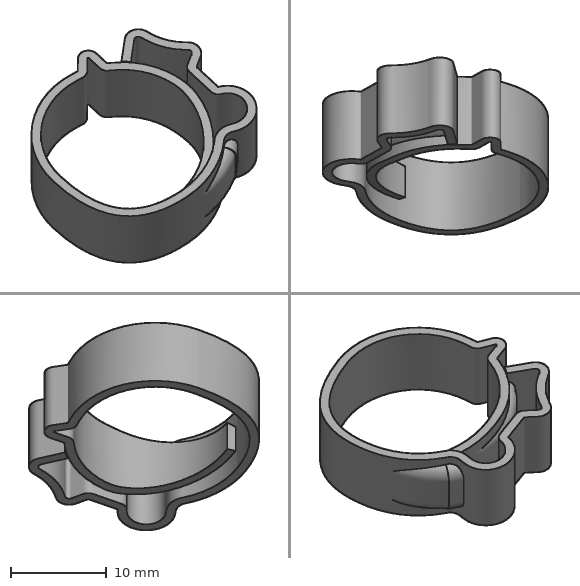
import cadquery as cq
import math


ORIGIN = (0, 0)
WIDTH = 8.0
THICKNESS = 1.0
TIGHT_BEND = 0.53

INNER_RADIUS = 9.0
OUTER_RADIUS = 10.144
TONGUE_END_ANGLE = 146.5
BAND_START_ANGLE = 173.3
BAND_END_ANGLE = 44.0
BELLY_REACH_X = 6.79
BELLY_REACH_Y = 6.15

HOOK_TOP_Y = 4.36
HOOK_TIP_X = -11.47
HOOK_FOOT_Y = 2.05
HOOK_TIP_BEND = 0.6

EAR_NECK_BEND = 1.85
LOOP_CENTER = (4.57, 10.55)
LOOP_RADIUS = 2.55
LOOP_START_ANGLE = -20.0
LOOP_END_ANGLE = 157.0
BRIDGE_Y = 11.17
BRIDGE_LEFT_X = -1.98
PEAK = (-3.58, 13.65)
PEAK_BEND = 0.92
SADDLE = (-6.15, 10.87)
SADDLE_BEND = 6.8
NOSE = (-10.1, 9.85)
NOSE_BEND = 0.95
TAB_END = (-7.05, 6.53)

TAPER_HEADING = -23.2
TAPER_START = -3.76
TAPER_LENGTH = 13.85
TAPER_ANGLE = 10.7
TAPER_BLEND = 10.0
TAPER_ACROSS = 13.85
GAP_RADIUS = 9.55

BEAD_HEIGHT = 6.0
BEAD_ROUND = 1.38
BEAD_ROOT = 1.62
CATCH_CENTER = (-0.85, -0.2)
CATCH_RADIUS = 10.05
CATCH_ANGLES = (50.0, 129.3)
RIDGE_CENTER = (-1.57, 1.73)
RIDGE_RADIUS = 11.98
RIDGE_ANGLES = (-10.0, 40.0)
RIDGE_RUN_CREST = 11.93
RIDGE_RUN_ROOT = 10.5
RIDGE_RUN_LENGTH = 1.73
RIDGE_BEND_ANGLE = 44.4


def polar(radius, angle, center=(0, 0)):
    turn = math.radians(angle)
    return (center[0] + radius * math.cos(turn), center[1] + radius * math.sin(turn))


def tangent(radius, angle, center=(0, 0)):
    """Tangent line of a circle, as its normal direction and its distance from the origin."""
    nx, ny = polar(1, angle)
    return (nx, ny, radius + center[0] * nx + center[1] * ny)


def meet(line_a, line_b):
    """Point where two lines cross."""
    ax, ay, a = line_a
    bx, by, b = line_b
    det = ax * by - ay * bx
    return ((a * by - b * ay) / det, (ax * b - bx * a) / det)


def arc(path, center, radius, start, end):
    middle = polar(radius, (start + end) / 2, center)
    return path.threePointArc(middle, polar(radius, end, center))


def bend(path, before, corner, after, radius):
    """Run straight toward a corner, then round it off toward the next point."""
    vertex = cq.Vector(*corner)
    back = (cq.Vector(*before) - vertex).normalized()
    ahead = (cq.Vector(*after) - vertex).normalized()
    half = back.getAngle(ahead) / 2
    reach = radius / math.tan(half)
    bisector = (back + ahead).normalized()
    middle = vertex + bisector * (radius / math.sin(half) - radius)
    entry = vertex + back * reach
    leave = vertex + ahead * reach
    return path.lineTo(entry.x, entry.y).threePointArc((middle.x, middle.y), (leave.x, leave.y))


def strip_path():
    """Centre line of the strip, from the tip of the tongue to the end of the tab."""
    hook_top = (0, 1, HOOK_TOP_Y)
    hook_bottom = (0, 1, HOOK_FOOT_Y)
    bridge = (0, 1, BRIDGE_Y)
    loop_entry = tangent(LOOP_RADIUS, LOOP_START_ANGLE, LOOP_CENTER)
    loop_exit = tangent(LOOP_RADIUS, LOOP_END_ANGLE, LOOP_CENTER)

    tongue_root = polar(INNER_RADIUS, TONGUE_END_ANGLE)
    hook_root = meet(tangent(INNER_RADIUS, TONGUE_END_ANGLE), hook_top)
    hook_tip = (HOOK_TIP_X, HOOK_TOP_Y)
    hook_foot = meet(tangent(INNER_RADIUS, BAND_START_ANGLE), hook_bottom)
    band_start = polar(INNER_RADIUS, BAND_START_ANGLE)
    band_end = polar(OUTER_RADIUS, BAND_END_ANGLE)
    ear_neck = meet(tangent(OUTER_RADIUS, BAND_END_ANGLE), loop_entry)
    loop_start = polar(LOOP_RADIUS, LOOP_START_ANGLE, LOOP_CENTER)
    loop_end = polar(LOOP_RADIUS, LOOP_END_ANGLE, LOOP_CENTER)
    bridge_right = meet(loop_exit, bridge)
    bridge_left = (BRIDGE_LEFT_X, BRIDGE_Y)
    belly = [
        (0, -INNER_RADIUS),
        (BELLY_REACH_X, -INNER_RADIUS),
        (OUTER_RADIUS, -BELLY_REACH_Y),
        (OUTER_RADIUS, 0),
    ]

    path = cq.Workplane("XY").moveTo(INNER_RADIUS, 0)
    path = arc(path, ORIGIN, INNER_RADIUS, 0, TONGUE_END_ANGLE)
    path = bend(path, tongue_root, hook_root, hook_tip, TIGHT_BEND)
    path = bend(path, hook_root, hook_tip, hook_foot, HOOK_TIP_BEND)
    path = bend(path, hook_tip, hook_foot, band_start, TIGHT_BEND)
    path = path.lineTo(*band_start)
    path = arc(path, ORIGIN, INNER_RADIUS, BAND_START_ANGLE, 270)
    path = path.bezier(belly)
    path = arc(path, ORIGIN, OUTER_RADIUS, 0, BAND_END_ANGLE)
    path = bend(path, band_end, ear_neck, loop_start, EAR_NECK_BEND)
    path = path.lineTo(*loop_start)
    path = arc(path, LOOP_CENTER, LOOP_RADIUS, LOOP_START_ANGLE, LOOP_END_ANGLE)
    path = bend(path, loop_end, bridge_right, bridge_left, TIGHT_BEND)
    path = bend(path, bridge_right, bridge_left, PEAK, TIGHT_BEND)
    path = bend(path, bridge_left, PEAK, SADDLE, PEAK_BEND)
    path = bend(path, PEAK, SADDLE, NOSE, SADDLE_BEND)
    path = bend(path, SADDLE, NOSE, TAB_END, NOSE_BEND)
    return path.lineTo(*TAB_END)


def bent_strip():
    section = cq.Workplane("XZ", origin=(INNER_RADIUS, 0, 0)).rect(THICKNESS, WIDTH)
    return section.sweep(strip_path())


def disk(radius):
    return cq.Workplane("XY").circle(radius).extrude(WIDTH / 2, both=True)


def taper_cut():
    """Waste above and below the tapered tongue."""
    reach = TAPER_BLEND * math.tan(math.radians(TAPER_ANGLE / 2))
    top = WIDTH / 2
    blend_center = (TAPER_START - reach, top - TAPER_BLEND)
    end = TAPER_START + TAPER_LENGTH
    drop = TAPER_LENGTH * math.tan(math.radians(TAPER_ANGLE))
    outline = cq.Workplane("XZ").moveTo(TAPER_START - reach, top)
    outline = arc(outline, blend_center, TAPER_BLEND, 90, 90 - TAPER_ANGLE)
    outline = outline.lineTo(end, top - drop).lineTo(end, top).close()
    above = outline.extrude(-TAPER_ACROSS).rotate((0, 0, 0), (0, 0, 1), TAPER_HEADING)
    below = above.mirror("XY")
    return above.union(below).intersect(disk(GAP_RADIUS))


def bead_section(plane, root, crest):
    """Bead section with rounded outer corners, reaching from root to crest along the plane's X."""
    side = BEAD_HEIGHT / 2
    shoulder = crest - BEAD_ROUND
    flank = side - BEAD_ROUND
    section = cq.Workplane(plane).moveTo(root, -side).lineTo(shoulder, -side)
    section = arc(section, (shoulder, -flank), BEAD_ROUND, -90, 0).lineTo(crest, flank)
    section = arc(section, (shoulder, flank), BEAD_ROUND, 0, 90).lineTo(root, side)
    return section.close()


def upright_plane(center, angle):
    """Vertical plane through a centre, with its X pointing outward at the given angle."""
    outward = polar(1, angle)
    return cq.Plane(origin=(*center, 0), xDir=(*outward, 0), normal=(*polar(1, angle - 90), 0))


def curved_bead(center, radius, angles):
    start, end = angles
    section = bead_section(upright_plane(center, start), radius - BEAD_ROOT, radius)
    return section.revolve(end - start, (0, 0), (0, 1))


def catch():
    """Crescent on the tongue that stops at the inner side of the tab."""
    return curved_bead(CATCH_CENTER, CATCH_RADIUS, CATCH_ANGLES).cut(disk(INNER_RADIUS))


def ridge():
    """Bead on the band that rises toward the ear, then runs straight into it."""
    far = 2 * RIDGE_RADIUS
    wedge = cq.Workplane("XY").polyline([ORIGIN, (far, 0), polar(far, RIDGE_BEND_ANGLE)]).close()
    curve = curved_bead(RIDGE_CENTER, RIDGE_RADIUS, RIDGE_ANGLES).cut(disk(OUTER_RADIUS))
    curve = curve.intersect(wedge.extrude(WIDTH / 2, both=True))
    section = bead_section(upright_plane(ORIGIN, RIDGE_BEND_ANGLE), RIDGE_RUN_ROOT, RIDGE_RUN_CREST)
    return curve.union(section.extrude(-RIDGE_RUN_LENGTH))


clamp = bent_strip().cut(taper_cut()).union(catch()).union(ridge())

result = cq.Compound.makeCompound([clamp.solids().val()])